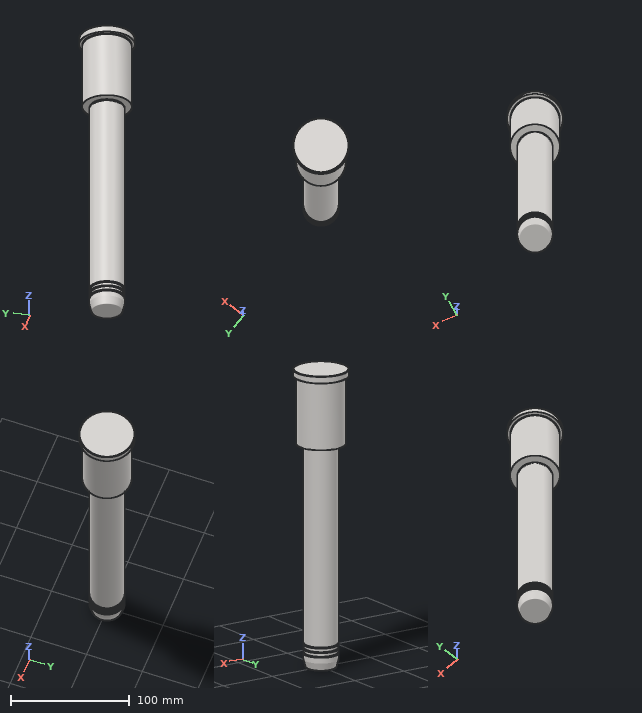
import cadquery as cq
import math

total_length = 261.0

flange_diameter = 47.0
flange_thickness = 6.0
flange_chamfer = 0.5

shoulder_diameter = 42.0
shoulder_bottom_depth = 65.5

shank_diameter = 30.0

relief_width = 1.0
relief_depth = 0.5
neck_width = 1.5
neck_depth = 1.0

groove_count = 3
groove_pitch = 4.0
groove_width = 1.0
groove_depth = 0.5
lowest_groove_height = 12.0

lead_length = 7.0
lead_angle = 15.0
tip_radius = 0.5

flange_bottom = total_length - flange_thickness
shoulder_bottom = total_length - shoulder_bottom_depth
tip_diameter = shank_diameter - 2 * lead_length * math.tan(math.radians(lead_angle))


def cylinder(diameter, bottom, top):
    """Solid cylinder on the Z axis between two heights."""
    return cq.Workplane("XY").workplane(offset=bottom).circle(diameter / 2).extrude(top - bottom)


def ring_groove(outer_diameter, depth, bottom, width):
    """Ring to remove from a cylinder, leaving a groove of the given depth."""
    inner_radius = outer_diameter / 2 - depth
    return (
        cq.Workplane("XY")
        .workplane(offset=bottom)
        .circle(outer_diameter / 2 + depth)
        .circle(inner_radius)
        .extrude(width)
    )


def tapered_lead():
    """Conical tip with a rounded edge around its end face."""
    cone = (
        cq.Workplane("XZ")
        .moveTo(0, 0)
        .lineTo(tip_diameter / 2, 0)
        .lineTo(shank_diameter / 2, lead_length)
        .lineTo(0, lead_length)
        .close()
        .revolve(360, (0, 0), (0, 1))
    )
    return cone.faces("<Z").edges().fillet(tip_radius)


result = (
    tapered_lead()
    .union(cylinder(shank_diameter, lead_length, shoulder_bottom))
    .union(cylinder(shoulder_diameter, shoulder_bottom, flange_bottom))
    .union(cylinder(flange_diameter, flange_bottom, total_length))
)

result = result.faces(">Z").edges().chamfer(flange_chamfer)

result = result.cut(ring_groove(shoulder_diameter, relief_depth, flange_bottom - relief_width, relief_width))
result = result.cut(ring_groove(shank_diameter, neck_depth, shoulder_bottom - neck_width, neck_width))

for index in range(groove_count):
    groove_bottom = lowest_groove_height + index * groove_pitch
    result = result.cut(ring_groove(shank_diameter, groove_depth, groove_bottom, groove_width))